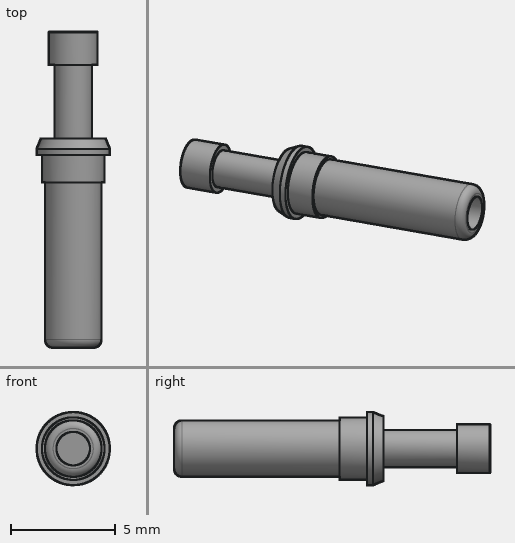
import cadquery as cq

length = 15.1

head_diameter = 2.34
neck_diameter = 1.8
flange_diameter = 3.5
flange_face_diameter = 3.1
collar_diameter = 2.99
barrel_diameter = 2.7
bore_diameter = 1.6

head_length = 1.6
neck_length = 3.5
flange_taper_length = 0.5
flange_rim_length = 0.3
collar_length = 1.3

head_chamfer = 0.05
barrel_rounding = 0.4
bore_depth = 0.75

head_end = length / 2
neck_start = head_end - head_length
flange_start = neck_start - neck_length
rim_start = flange_start - flange_taper_length
rim_end = rim_start - flange_rim_length
collar_end = rim_end - collar_length
barrel_end = -length / 2


def cylinder(diameter, y_low, y_high):
    """Solid cylinder on the Y axis between two stations."""
    return (
        cq.Workplane("XZ", origin=(0, y_high, 0))
        .circle(diameter / 2)
        .extrude(y_high - y_low)
    )


def make_head():
    head = cylinder(head_diameter, neck_start, head_end)
    return head.faces(">Y").chamfer(head_chamfer)


def make_flange():
    """Rim with a tapered shoulder on the neck side, revolved about Y."""
    profile = [
        (0, rim_end),
        (flange_diameter / 2, rim_end),
        (flange_diameter / 2, rim_start),
        (flange_face_diameter / 2, flange_start),
        (0, flange_start),
    ]
    return (
        cq.Workplane("XY")
        .polyline(profile)
        .close()
        .revolve(360, (0, 0, 0), (0, 1, 0))
    )


def make_barrel():
    """Barrel with a rounded end and a blind bore."""
    barrel = cylinder(barrel_diameter, barrel_end, collar_end)
    barrel = barrel.faces("<Y").edges().fillet(barrel_rounding)
    return barrel.cut(cylinder(bore_diameter, barrel_end, barrel_end + bore_depth))


result = (
    make_head()
    .union(cylinder(neck_diameter, flange_start, neck_start))
    .union(make_flange())
    .union(cylinder(collar_diameter, collar_end, rim_end))
    .union(make_barrel())
)